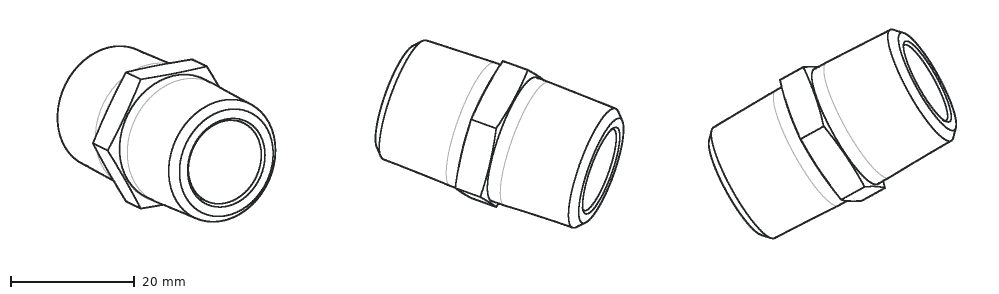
import cadquery as cq
import math

length = 36.0
half_length = length / 2

collar_diameter = 21.28
collar_half_length = 4.8
taper_ratio = 1 / 16
end_chamfer = 1.25

bore_diameter = 14.0
bore_chamfer = 0.45

hex_across_flats = 22.0
hex_width = 5.1
hex_face_diameter = 21.55
hex_chamfer_angle = 10.0

hex_across_corners = hex_across_flats / math.cos(math.radians(30))


def revolve_about_x(profile):
    """Revolve a closed XY outline of (x, radius) points about the X axis."""
    return cq.Workplane("XY").polyline(profile).close().revolve(360, (0, 0, 0), (1, 0, 0))


def mirrored_profile(right_half):
    """Complete a symmetric outline from its +X points, listed outward from the middle."""
    left_half = [(-x, radius) for x, radius in right_half]
    return right_half + left_half[::-1]


def tapered_body():
    taper_end = half_length - end_chamfer
    collar_radius = collar_diameter / 2
    taper_radius = collar_radius - (taper_end - collar_half_length) * taper_ratio / 2
    return revolve_about_x(mirrored_profile([
        (collar_half_length, collar_radius),
        (taper_end, taper_radius),
        (half_length, taper_radius - end_chamfer),
        (half_length, 0),
    ]))


def hexagon():
    prism = (
        cq.Workplane("YZ")
        .polygon(6, hex_across_corners)
        .extrude(hex_width / 2, both=True)
    )
    face_radius = hex_face_diameter / 2
    corner_radius = hex_across_corners / 2
    corner_drop = (corner_radius - face_radius) * math.tan(math.radians(hex_chamfer_angle))
    chamfer_envelope = revolve_about_x(mirrored_profile([
        (hex_width / 2 - corner_drop, corner_radius),
        (hex_width / 2, face_radius),
        (hex_width / 2, 0),
    ]))
    return prism.intersect(chamfer_envelope)


def bore():
    bore_radius = bore_diameter / 2
    return revolve_about_x(mirrored_profile([
        (half_length - bore_chamfer, bore_radius),
        (half_length, bore_radius + bore_chamfer),
        (half_length, 0),
    ]))


result = tapered_body().union(hexagon()).cut(bore())